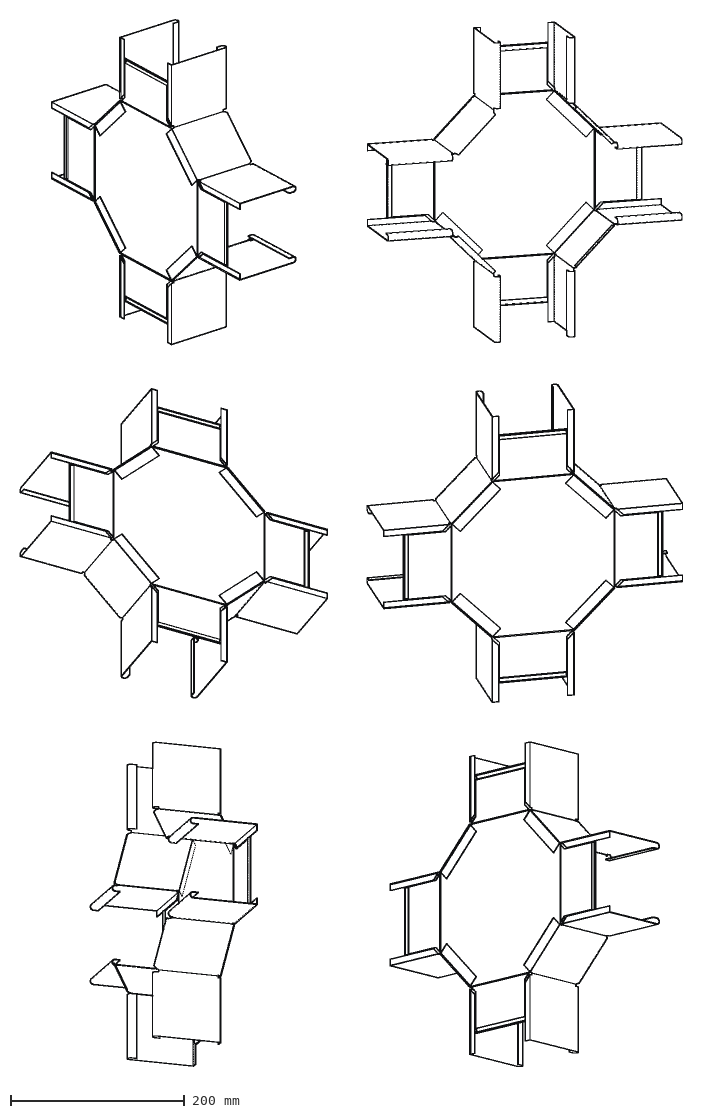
import cadquery as cq
import math


overall_span = 353.97
tray_height = 82.0
sheet = 1.0
arm_length = 79.75
arm_half_width = 48.75
edge_width = 8.0
lip_leg = 6.0
diagonal_lip_angle = 90.0
tab_depth = 15.0

top_notch_depth = 6.0
bottom_notch_depth = 3.5
notch_half_width = 2.2
tab_end_relief = 0.5
diagonal_lip_inset = 3.0

tongue_clearance = 1.0
joggle_start = 96.0
joggle_run = 1.0
tongue_reach = 153.8
bead_centre = 150.2
bead_inner_radius = 2.0
plate_wall_gap = 0.7
flange_mitre_gap = 3.1

corner_reach = overall_span / 2 - arm_length
diagonal_length = math.sqrt(2) * (corner_reach - arm_half_width)
mitre_shift = sheet * math.tan(math.radians(22.5))
lip_outer_radius = edge_width / 2
lip_inner_radius = lip_outer_radius - sheet
lip_spring_height = tray_height - lip_outer_radius
wall_bottom = bottom_notch_depth
wall_top = tray_height - top_notch_depth
tongue_half_width = arm_half_width - edge_width - tongue_clearance
plate_diagonal_sum = arm_half_width + corner_reach - math.sqrt(2) * (sheet + plate_wall_gap)
flange_mitre_sum = plate_diagonal_sum + math.sqrt(2) * flange_mitre_gap

DIAGONAL = math.sqrt(0.5)
QUARTER_TURNS = (0, 90, 180, 270)
Y_AXIS = ((0, 0, 0), (0, 1, 0))


def prism(points_xz, bottom, top):
    """Extrude an outline given as (x, z) points from Y = bottom to Y = top."""
    outline = [(x, -z) for x, z in points_xz]
    plan = cq.Plane(origin=(0, bottom, 0), xDir=(1, 0, 0), normal=(0, 1, 0))
    return cq.Workplane(plan).polyline(outline).close().extrude(top - bottom)


def quarter_turn(shape, angle):
    return shape.rotate(*Y_AXIS, angle)


def panel_section(start, along, inward, offset):
    """Section plane of a wall panel: x runs inward from its outer face, y runs up the wall."""
    origin = tuple(s + a * offset for s, a in zip(start, along))
    return cq.Workplane(cq.Plane(origin=origin, xDir=inward, normal=along))


def foot(section, width, length):
    """Lowest strip of a wall panel with the flange bent inward."""
    return (
        section.moveTo(0, 0)
        .lineTo(width, 0)
        .lineTo(width, sheet)
        .lineTo(sheet, sheet)
        .lineTo(sheet, wall_bottom)
        .lineTo(0, wall_bottom)
        .close()
        .extrude(length)
    )


def arm_lip(section, length):
    """Uppermost strip of an arm wall with its half-round lip rolled inward and down."""
    centre = lip_outer_radius
    leg_end = lip_spring_height - lip_leg
    return (
        section.moveTo(0, wall_top)
        .lineTo(0, lip_spring_height)
        .threePointArc((centre, tray_height), (edge_width, lip_spring_height))
        .lineTo(edge_width, leg_end)
        .lineTo(edge_width - sheet, leg_end)
        .lineTo(edge_width - sheet, lip_spring_height)
        .threePointArc((centre, tray_height - sheet), (sheet, lip_spring_height))
        .lineTo(sheet, wall_top)
        .close()
        .extrude(length)
    )


def curl_point(radius, degrees):
    """Point on the lip's curl, measured from where the curl leaves the wall."""
    angle = math.radians(degrees)
    return (
        lip_outer_radius - radius * math.cos(angle),
        lip_spring_height + radius * math.sin(angle),
    )


def diagonal_lip(start, along, inward):
    """Uppermost strip of a diagonal wall with a short curl and sloping ends."""
    half_curl = diagonal_lip_angle / 2
    strip = (
        panel_section(start, along, inward, 0)
        .moveTo(0, wall_top)
        .lineTo(0, lip_spring_height)
        .threePointArc(
            curl_point(lip_outer_radius, half_curl),
            curl_point(lip_outer_radius, diagonal_lip_angle),
        )
        .lineTo(*curl_point(lip_inner_radius, diagonal_lip_angle))
        .threePointArc(curl_point(lip_inner_radius, half_curl), (sheet, lip_spring_height))
        .lineTo(sheet, wall_top)
        .close()
        .extrude(diagonal_length)
    )
    face = cq.Plane(origin=start, xDir=along, normal=tuple(-c for c in inward))
    sloping_ends = (
        cq.Workplane(face)
        .moveTo(0, wall_top)
        .lineTo(diagonal_length, wall_top)
        .lineTo(diagonal_length - diagonal_lip_inset, tray_height)
        .lineTo(diagonal_lip_inset, tray_height)
        .close()
        .extrude(-edge_width)
    )
    return strip.intersect(sloping_ends)


def bent_wall():
    """Upright sheet between the notches, bent twice by 45 degrees."""
    end = overall_span / 2
    inner_half_width = arm_half_width - sheet
    inner_reach = corner_reach - mitre_shift
    outline = [
        (arm_half_width, end),
        (arm_half_width, corner_reach),
        (corner_reach, arm_half_width),
        (end, arm_half_width),
        (end, inner_half_width),
        (inner_reach, inner_half_width),
        (inner_half_width, inner_reach),
        (inner_half_width, end),
    ]
    return prism(outline, wall_bottom, wall_top)


def flange_mitre():
    """Material removed so that the arm flanges end at 45 degrees beside the diagonal."""
    inner_edge = arm_half_width - edge_width
    outer_edge = arm_half_width - sheet
    z_arm = [
        (inner_edge, corner_reach),
        (inner_edge, flange_mitre_sum - inner_edge),
        (outer_edge, flange_mitre_sum - outer_edge),
        (outer_edge, corner_reach),
    ]
    x_arm = [(z, x) for x, z in z_arm]
    return prism(z_arm, 0, sheet).union(prism(x_arm, 0, sheet))


def corner_wall():
    arm_edge_length = arm_length - notch_half_width
    z_arm = ((arm_half_width, 0, overall_span / 2), (0, 0, -1), (-1, 0, 0), 0)
    x_arm = ((corner_reach, 0, arm_half_width), (1, 0, 0), (0, 0, -1), notch_half_width)
    diagonal = (
        (arm_half_width, 0, corner_reach),
        (DIAGONAL, 0, -DIAGONAL),
        (-DIAGONAL, 0, -DIAGONAL),
    )

    feet = foot(panel_section(*z_arm), edge_width, arm_edge_length)
    feet = feet.union(foot(panel_section(*x_arm), edge_width, arm_edge_length)).cut(flange_mitre())
    tab_length = diagonal_length - 2 * tab_end_relief
    tab = foot(panel_section(*diagonal, tab_end_relief), tab_depth, tab_length)

    body = bent_wall().union(feet).union(tab)
    for arm in (z_arm, x_arm):
        body = body.union(arm_lip(panel_section(*arm), arm_edge_length))
    return body.union(diagonal_lip(*diagonal))


def plate_outline():
    """Octagon that rests on the tabs, with a tongue reaching into each arm."""
    shoulder = plate_diagonal_sum - tongue_half_width
    quarter = [
        (tongue_half_width, tongue_reach),
        (tongue_half_width, shoulder),
        (shoulder, tongue_half_width),
        (tongue_reach, tongue_half_width),
    ]
    points = []
    for _ in QUARTER_TURNS:
        points += quarter
        quarter = [(z, -x) for x, z in quarter]
    return prism(points, 0, tray_height)


def plate_strip(angle):
    """Sheet running from the centre into one arm: joggle down, bead, free end."""
    joggle_end = joggle_start + joggle_run
    bend_shift = sheet * math.tan(math.atan2(sheet, joggle_run) / 2)
    bead_outer_radius = bead_inner_radius + sheet
    bead_outer_half = math.sqrt(bead_outer_radius**2 - sheet**2)
    half_width = plate_diagonal_sum - joggle_start
    side = cq.Plane(origin=(half_width, 0, 0), xDir=(0, 0, 1), normal=(-1, 0, 0))
    strip = (
        cq.Workplane(side)
        .moveTo(0, sheet)
        .lineTo(joggle_start, sheet)
        .lineTo(joggle_end, 0)
        .lineTo(bead_centre - bead_inner_radius, 0)
        .threePointArc((bead_centre, bead_inner_radius), (bead_centre + bead_inner_radius, 0))
        .lineTo(tongue_reach, 0)
        .lineTo(tongue_reach, sheet)
        .lineTo(bead_centre + bead_outer_half, sheet)
        .threePointArc((bead_centre, bead_outer_radius), (bead_centre - bead_outer_half, sheet))
        .lineTo(joggle_end + bend_shift, sheet)
        .lineTo(joggle_start + bend_shift, 2 * sheet)
        .lineTo(0, 2 * sheet)
        .close()
        .extrude(2 * half_width)
    )
    return quarter_turn(strip, angle)


def base_plate():
    sheet_metal = cq.Workplane("XY").box(2 * joggle_start, sheet, 2 * joggle_start)
    sheet_metal = sheet_metal.translate((0, 1.5 * sheet, 0))
    for angle in QUARTER_TURNS:
        sheet_metal = sheet_metal.union(plate_strip(angle))
    return sheet_metal.intersect(plate_outline())


plate = base_plate()
first_corner = corner_wall()
corners = [quarter_turn(first_corner, angle) for angle in QUARTER_TURNS]

result = cq.Compound.makeCompound([plate.val(), *[corner.val() for corner in corners]])